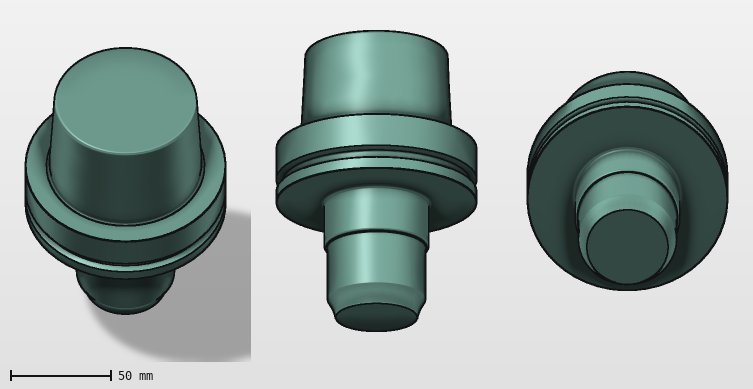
import cadquery as cq

total_height = 139.9
flange_top = 90.0
flange_bottom = 61.0
neck_bottom = 38.2
shank_top = 36.1
nose_start = 10.1

flange_diameter = 100.0
flange_radius = flange_diameter / 2
taper_top_radius = 35.7
taper_base_radius = 38.0
neck_radius = 26.2
shank_radius = 24.5
nose_end_radius = 20.7

top_round = 2.0
taper_base = 92.6
relief_corner_height = 91.9
foot_radius = 37.9
relief_outer_radius = 39.5
relief_depth = 0.3
relief_floor = flange_top - relief_depth
foot_fillet = 0.8

groove_radius = 46.3
groove_floor_top = 71.0
groove_floor_bottom = 68.8
groove_corner = 0.7
groove_upper_rim = 73.2
groove_lower_rim = 66.9
rim_break = 0.3

neck_fillet = 2.1
neck_round = 1.1
shank_fillet = 0.4
nose_round = 0.1
nose_start_radius = 1.4
nose_shoulder = 9.2
nose_bulge = 0.49
end_chamfer = 0.4


def lower_body(profile):
    """Trace from the nose end up to the flange underside."""
    return (
        profile
        .lineTo(nose_end_radius - end_chamfer, 0)
        .lineTo(nose_end_radius, 2 * end_chamfer)
        .sagittaArc((shank_radius - nose_round, nose_shoulder), nose_bulge)
        .radiusArc((shank_radius, nose_start), -nose_start_radius)
        .lineTo(shank_radius, shank_top)
        .radiusArc((shank_radius + shank_fillet, shank_top + shank_fillet), shank_fillet)
        .lineTo(neck_radius - neck_round, neck_bottom - neck_round)
        .radiusArc((neck_radius, neck_bottom), -neck_round)
        .lineTo(neck_radius, flange_bottom - neck_fillet)
        .radiusArc((neck_radius + neck_fillet, flange_bottom), neck_fillet)
    )


def flange(profile):
    """Trace the flange rim and its groove."""
    return (
        profile
        .lineTo(flange_radius - rim_break, flange_bottom)
        .lineTo(flange_radius, flange_bottom + rim_break)
        .lineTo(flange_radius, groove_lower_rim)
        .lineTo(groove_radius + groove_corner, groove_floor_bottom - groove_corner)
        .radiusArc((groove_radius, groove_floor_bottom), groove_corner)
        .lineTo(groove_radius, groove_floor_top)
        .radiusArc((groove_radius + groove_corner, groove_floor_top + groove_corner), groove_corner)
        .lineTo(flange_radius, groove_upper_rim)
        .lineTo(flange_radius, flange_top - rim_break)
        .lineTo(flange_radius - rim_break, flange_top)
    )


def taper(profile):
    """Trace the face relief and the tapered plug, ending at its top centre."""
    return (
        profile
        .lineTo(relief_outer_radius, flange_top)
        .lineTo(relief_outer_radius, relief_floor)
        .lineTo(foot_radius + foot_fillet, relief_floor)
        .radiusArc((foot_radius, relief_floor + foot_fillet), foot_fillet)
        .lineTo(foot_radius, relief_corner_height)
        .lineTo(taper_base_radius, taper_base)
        .lineTo(taper_top_radius, total_height - top_round)
        .radiusArc((taper_top_radius - top_round, total_height), -top_round)
        .lineTo(0, total_height)
    )


outline = taper(flange(lower_body(cq.Workplane("XZ").moveTo(0, 0))))
result = outline.close().revolve(360, (0, 0, 0), (0, 1, 0))